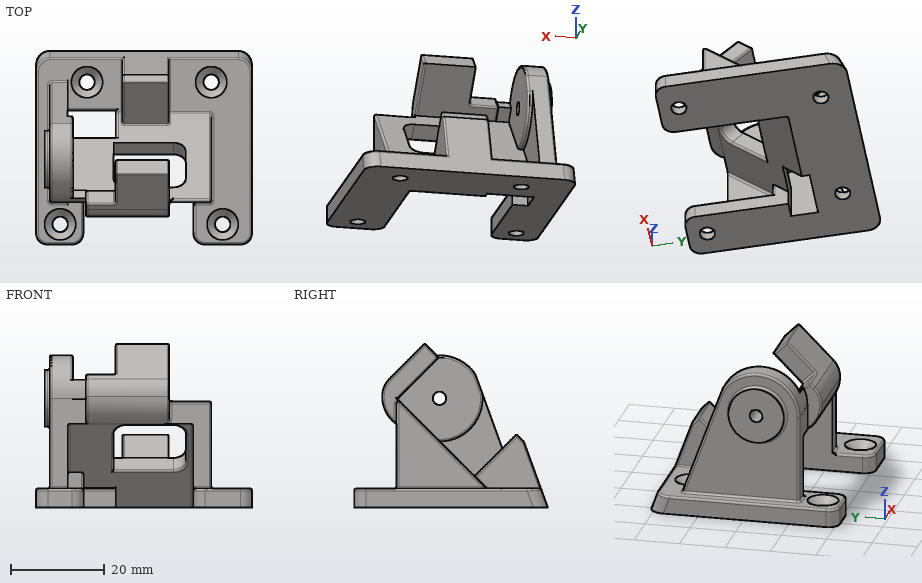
import cadquery as cq
import math

EDGE = 0.5
FINE_EDGE = 0.2
LEAN = math.radians(20)
SLANT = math.tan(LEAN)
MARGIN = 1.0

BASE_X = 46.31
BASE_Y = 41.53
BASE_T = 4.1
NOTCH_X0 = 10.2
NOTCH_X1 = 33.7
FOOT_R = 2.5
REAR_R = 3.0
FRONT_HOLE_XS = (5.2, 40.0)
FRONT_HOLE_Y = 4.35
REAR_HOLE_XS = (10.95, 37.55)
REAR_HOLE_Y = 34.8
SCREW_D = 3.25
SINK_D = 6.7
SINK_ANGLE = 90

FRONT_Y = 9.05
RAMP_X1 = 37.6
RAMP_TOP = 32.5
RAMP_UNDER = 27.0
OPEN_X0 = 6.8
OPEN_X1 = NOTCH_X1
EMBED_Z = 19.5
SLOT_X0 = 16.65
SLOT_X1 = 32.1
SLOT_FRONT_Y = 12.3
SLOT_REAR_Y = 21.85
SLOT_R = 2.7

WINDOW_X1 = 17.1
WINDOW_Y0 = 22.85
WINDOW_Y1 = 28.7
WINDOW_TOP = 10.0
BLOCK_Y0 = 19.4

CHEEK_X0 = 2.95
AXIS_Y = 18.3
AXIS_Z = 23.4
ARCH_R = AXIS_Y - FRONT_Y
CHEEK_REAR_Y = 34.9
ARCH_X1 = 7.95
BOSS_R = 6.1
BOSS_H = 1.1
PIN_HOLE_D = 2.8

HOOK_X0 = 10.7
HOOK_STEP_X = 17.05
HOOK_X1 = 28.55
HOOK_FRONT = 20.0
HOOK_BACK = 14.0
HOOK_TIP = 50.3
SHOULDER_TIP = 37.4
HOOK_NOSE_Z = 23.8
HOOK_NOSE_R = 5.3
HOOK_EDGE = 0.4

CATCH_X0 = 18.5
CATCH_X1 = 28.5
CATCH_FRONT = -19.1
CATCH_ROOT_R = 0.3
CATCH_TIP = 50.5


def crossing(total, difference):
    """(Y, Z) point where Y + Z = total meets Z - Y = difference."""
    return ((total - difference) / 2, (total + difference) / 2)


def side_sketch(x):
    """Workplane at the given X whose local axes are Y and Z."""
    return cq.Workplane("YZ", origin=(x, 0, 0))


def box(x0, x1, y0, y1, z0, z1):
    return cq.Workplane("XY").box(x1 - x0, y1 - y0, z1 - z0, centered=False).translate((x0, y0, z0))


def edges_within(body, low, high, slack=0.1):
    """Edges of the body whose middles lie in the given box, grown by a small slack."""
    grown_low = tuple(v - slack for v in low)
    grown_high = tuple(v + slack for v in high)
    return body.edges(cq.selectors.BoxSelector(grown_low, grown_high))


def make_base():
    """Plate with a slanted rear, a notch between its two front feet and rounded edges."""
    base = (
        side_sketch(0)
        .polyline([(0, 0), (BASE_Y, 0), (BASE_Y - BASE_T * SLANT, BASE_T), (0, BASE_T)])
        .close()
        .extrude(BASE_X)
    )
    rear_corners = cq.selectors.BoxSelector((-1, BASE_Y - 2, 1), (BASE_X + 1, BASE_Y, 3))
    base = base.edges(rear_corners).edges("not #Z").edges("not |X").fillet(REAR_R)
    base = base.cut(box(NOTCH_X0, NOTCH_X1, -MARGIN, RAMP_UNDER, -MARGIN, BASE_T + MARGIN))
    base = base.edges("|Z").edges("<Y").fillet(FOOT_R)
    return base.faces(">Z").edges().fillet(EDGE)


def make_ramp():
    """Wedge with a 45 degree top, hollowed from below so that a sloping plate and walls remain."""
    rear_y = RAMP_TOP - BASE_T
    ramp = (
        side_sketch(CHEEK_X0 + MARGIN)
        .polyline([(FRONT_Y, 0), (FRONT_Y, RAMP_TOP - FRONT_Y), (rear_y, BASE_T), (rear_y, 0)])
        .close()
        .extrude(RAMP_X1 - CHEEK_X0 - MARGIN)
    )
    opening = (
        side_sketch(OPEN_X0)
        .polyline([(0, 0), (RAMP_UNDER, 0), (0, RAMP_UNDER)])
        .close()
        .extrude(OPEN_X1 - OPEN_X0)
    )
    ramp = ramp.cut(opening)
    ramp = ramp.edges("|X").edges(">Z").fillet(EDGE)
    under_corners = edges_within(ramp, (OPEN_X0, 13, 3), (OPEN_X1, 22, 15))
    ramp = under_corners.fillet(EDGE)
    outer_edges = edges_within(ramp, (RAMP_X1, FRONT_Y, BASE_T), (RAMP_X1, RAMP_TOP - BASE_T, RAMP_TOP))
    return outer_edges.fillet(EDGE)


def arch_point(angle):
    """(Y, Z) point of the round cheek top at an angle measured from +Y towards +Z."""
    return (AXIS_Y + ARCH_R * math.cos(angle), AXIS_Z + ARCH_R * math.sin(angle))


ARCH_TOP = arch_point(math.pi / 2)
CHEEK_FOOT_REAR = (CHEEK_REAR_Y + BASE_T * SLANT, 0)
CUT_HALF_ANGLE = math.acos(
    ((CHEEK_FOOT_REAR[0] - AXIS_Y) * math.cos(LEAN) - AXIS_Z * math.sin(LEAN)) / ARCH_R
)


def make_cheek():
    """Outer wall with a slanted rear and a round top, plus its thicker round head."""
    arch_end = arch_point(LEAN + CUT_HALF_ANGLE)
    wall = (
        side_sketch(CHEEK_X0)
        .moveTo(FRONT_Y, 0)
        .lineTo(FRONT_Y, AXIS_Z)
        .threePointArc(ARCH_TOP, arch_end)
        .lineTo(*CHEEK_FOOT_REAR)
        .close()
        .extrude(OPEN_X0 - CHEEK_X0)
    )
    wall = wall.faces("<X").edges("not <Z").fillet(EDGE)
    head = (
        side_sketch(OPEN_X0)
        .moveTo(FRONT_Y, EMBED_Z)
        .lineTo(FRONT_Y, AXIS_Z)
        .threePointArc(ARCH_TOP, arch_end)
        .lineTo(*arch_point(LEAN - CUT_HALF_ANGLE))
        .threePointArc(arch_point(math.radians(-60)), arch_point(math.radians(-110)))
        .close()
        .extrude(ARCH_X1 - OPEN_X0)
    )
    head = head.faces(">X").edges().fillet(EDGE)
    return wall.union(head)


def make_neck():
    """Link between head and hook: the cheek outline in front of the hook's back plane."""
    reach = math.acos((AXIS_Y + AXIS_Z - SHOULDER_TIP) / (ARCH_R * math.sqrt(2)))
    top_angle = math.radians(225) - reach
    x0 = ARCH_X1 - EDGE
    return (
        side_sketch(x0)
        .moveTo(FRONT_Y, EMBED_Z)
        .lineTo(FRONT_Y, AXIS_Z)
        .threePointArc(arch_point((math.pi + top_angle) / 2), arch_point(top_angle))
        .lineTo(*crossing(SHOULDER_TIP, HOOK_BACK))
        .lineTo(*crossing(RAMP_TOP, HOOK_BACK))
        .lineTo(FRONT_Y + MARGIN, RAMP_TOP - FRONT_Y - MARGIN)
        .lineTo(FRONT_Y + MARGIN, EMBED_Z)
        .close()
        .extrude(HOOK_X0 - x0)
    )


def add_boss(body):
    """Round pad on the outer face of the cheek, with a rounded root and the pin hole through it."""
    axis = cq.Workplane("YZ", origin=(CHEEK_X0, AXIS_Y, AXIS_Z))
    body = body.union(axis.circle(BOSS_R).extrude(-BOSS_H))
    root = cq.selectors.BoxSelector(
        (CHEEK_X0 - FINE_EDGE, AXIS_Y - BOSS_R - FINE_EDGE, AXIS_Z - BOSS_R - FINE_EDGE),
        (CHEEK_X0 + FINE_EDGE, AXIS_Y + BOSS_R + FINE_EDGE, AXIS_Z + BOSS_R + FINE_EDGE),
    )
    body = body.edges(root).edges("%CIRCLE").fillet(EDGE)
    pin = cq.Workplane("YZ", origin=(0, AXIS_Y, AXIS_Z)).circle(PIN_HOLE_D / 2).extrude(ARCH_X1 + MARGIN)
    return body.cut(pin)


def make_hook():
    """Rounded nose carrying a tongue that leans back at 45 degrees, stepped down on its left."""
    tangent_y = HOOK_NOSE_Z + HOOK_NOSE_R * math.sin(math.pi / 4) - HOOK_FRONT
    nose_top = (tangent_y, tangent_y + HOOK_FRONT)
    nose_centre_y = tangent_y + HOOK_NOSE_R * math.cos(math.pi / 4)
    nose = (nose_centre_y - HOOK_NOSE_R, HOOK_NOSE_Z)
    hook = (
        side_sketch(HOOK_X0)
        .moveTo(FRONT_Y + MARGIN, RAMP_UNDER - FRONT_Y)
        .lineTo(FRONT_Y + MARGIN, RAMP_TOP - FRONT_Y - MARGIN)
        .lineTo(*crossing(RAMP_TOP, HOOK_BACK))
        .lineTo(*crossing(HOOK_TIP, HOOK_BACK))
        .lineTo(*crossing(HOOK_TIP, HOOK_FRONT))
        .lineTo(*nose_top)
        .tangentArcPoint(nose, relative=False)
        .tangentArcPoint((FRONT_Y, RAMP_UNDER - FRONT_Y), relative=False)
        .close()
        .extrude(HOOK_X1 - HOOK_X0)
    )
    step = (
        side_sketch(HOOK_X0 - MARGIN)
        .polyline(
            [
                crossing(SHOULDER_TIP, HOOK_BACK - MARGIN),
                crossing(HOOK_TIP + MARGIN, HOOK_BACK - MARGIN),
                crossing(HOOK_TIP + MARGIN, HOOK_FRONT + MARGIN),
                crossing(SHOULDER_TIP, HOOK_FRONT + MARGIN),
            ]
        )
        .close()
        .extrude(HOOK_STEP_X - HOOK_X0 + MARGIN)
    )
    step = step.edges(">X").edges("<Z").fillet(EDGE)
    hook = hook.cut(step)
    far = BASE_Y
    above_nose = HOOK_NOSE_Z + MARGIN
    step_low = (HOOK_STEP_X, FRONT_Y, SHOULDER_TIP - FRONT_Y)
    hook = edges_within(hook, step_low, (HOOK_STEP_X, far, far)).fillet(HOOK_EDGE)
    hook = edges_within(hook, (HOOK_X1, 0, above_nose), (HOOK_X1, far, far)).fillet(HOOK_EDGE)
    shoulder_back = crossing(SHOULDER_TIP, HOOK_BACK)[0] - MARGIN
    hook = edges_within(hook, (HOOK_X0, 0, above_nose), (HOOK_X0, shoulder_back, far)).fillet(HOOK_EDGE)
    return hook.edges("|X").edges(">Z").fillet(FINE_EDGE)


def make_catch():
    """Pointed block whose rear plane is flush with the slanted rear of the base."""
    corner_z = (CATCH_TIP - BASE_Y) / (1 - SLANT)
    catch = (
        side_sketch(CATCH_X0)
        .polyline(
            [
                (BASE_Y, 0),
                (BASE_Y - corner_z * SLANT, corner_z),
                crossing(CATCH_TIP, CATCH_FRONT),
                crossing(RAMP_TOP - 2 * MARGIN, CATCH_FRONT),
                (RAMP_UNDER, 0),
            ]
        )
        .close()
        .extrude(CATCH_X1 - CATCH_X0)
    )
    catch = catch.faces("<X or >X").edges().fillet(HOOK_EDGE)
    return catch.edges("|X").edges(">Z").fillet(FINE_EDGE)


def make_block():
    """Small block under the ramp, standing on the left foot beside the cheek."""
    block = box(OPEN_X0, NOTCH_X0, BLOCK_Y0, WINDOW_Y0, BASE_T - EDGE, RAMP_UNDER - BLOCK_Y0 + MARGIN)
    return block.edges("|Z").edges(">X and <Y").fillet(EDGE)


def slot_cutter():
    """Opening square to the ramp; its rear left corner is left sharp."""
    mid_y = (SLOT_FRONT_Y + SLOT_REAR_Y) / 2
    length = (SLOT_REAR_Y - SLOT_FRONT_Y) * math.sqrt(2)
    depth = (RAMP_TOP - RAMP_UNDER) / math.sqrt(2)
    centre = ((SLOT_X0 + SLOT_X1) / 2, mid_y, RAMP_TOP - mid_y)
    plane = cq.Plane(origin=centre, xDir=(1, 0, 0), normal=(0, 1, 1))
    slot = cq.Workplane(plane).rect(SLOT_X1 - SLOT_X0, length).extrude(-depth - MARGIN)
    corners = slot.edges(cq.selectors.ParallelDirSelector(cq.Vector(0, 1, 1)))
    sharp = cq.selectors.BoxSelector((SLOT_X0 - 1, SLOT_REAR_Y - 4, 0), (SLOT_X0 + 1, SLOT_REAR_Y + 1, 20))
    return corners.edges(-sharp).fillet(SLOT_R)


def cut_slot(body):
    """Cut the slot and round the lower edge of its rear wall."""
    body = body.cut(slot_cutter())
    rear_low_y = SLOT_REAR_Y - (RAMP_TOP - RAMP_UNDER) / 2
    rear_low_z = RAMP_UNDER - rear_low_y
    low = (SLOT_X0 + SLOT_R, rear_low_y, rear_low_z)
    high = (SLOT_X1 - SLOT_R, rear_low_y, rear_low_z)
    return edges_within(body, low, high).fillet(EDGE)


def cut_window(body):
    """Window through base and ramp foot beside the cheek, with rounded upper and rear edges."""
    body = body.cut(box(OPEN_X0, WINDOW_X1, WINDOW_Y0, WINDOW_Y1, -MARGIN, WINDOW_TOP))
    side = (WINDOW_X1, WINDOW_Y0 + MARGIN, BASE_T)
    body = edges_within(body, side, (WINDOW_X1, WINDOW_Y1 - MARGIN, WINDOW_TOP)).fillet(EDGE)
    rear = (NOTCH_X0, WINDOW_Y1, BASE_T)
    return edges_within(body, rear, (WINDOW_X1 - MARGIN, WINDOW_Y1, BASE_T)).fillet(EDGE)


def round_wall_roots(body):
    """Concave rounding where the cheek and the right wall stand on the base."""
    cheek_low = (CHEEK_X0, FRONT_Y, BASE_T)
    cheek_high = (OPEN_X0 - 2 * EDGE, CHEEK_REAR_Y, BASE_T)
    body = edges_within(body, cheek_low, cheek_high).fillet(EDGE)
    wall_low = (OPEN_X1 + EDGE, FRONT_Y, BASE_T)
    wall_high = (RAMP_X1, RAMP_TOP - BASE_T - EDGE, BASE_T)
    return edges_within(body, wall_low, wall_high).fillet(EDGE)


def round_catch_root(body):
    """Concave rounding where the catch rises from the ramp and the base."""
    front_y, front_z = crossing(RAMP_TOP, CATCH_FRONT)
    on_ramp = cq.selectors.BoxSelector(
        (CATCH_X0 - FINE_EDGE, front_y - FINE_EDGE, BASE_T + EDGE / 2),
        (CATCH_X1 + FINE_EDGE, RAMP_TOP - BASE_T - MARGIN, front_z + FINE_EDGE),
    )
    on_base = cq.selectors.BoxSelector(
        (CATCH_X0 - FINE_EDGE, RAMP_TOP - BASE_T - EDGE, BASE_T - FINE_EDGE),
        (CATCH_X1 + FINE_EDGE, BASE_Y - MARGIN, BASE_T + FINE_EDGE),
    )
    return body.edges(on_ramp + on_base).fillet(CATCH_ROOT_R)


def round_hook_root(body):
    """Concave rounding between the hook's right side and the front of the ramp."""
    low = (HOOK_X1, FRONT_Y, RAMP_UNDER - FRONT_Y + EDGE)
    return edges_within(body, low, (HOOK_X1, FRONT_Y, RAMP_TOP - FRONT_Y)).fillet(EDGE)


def drill_screw_holes(body):
    """Four countersunk screw holes through the base."""
    front = [(x, FRONT_HOLE_Y) for x in FRONT_HOLE_XS]
    rear = [(x, REAR_HOLE_Y) for x in REAR_HOLE_XS]
    top = cq.Workplane("XY", origin=(0, 0, BASE_T))
    body = body.cut(top.pushPoints(front + rear).circle(SCREW_D / 2).extrude(-BASE_T))
    sink_depth = (SINK_D - SCREW_D) / 2 / math.tan(math.radians(SINK_ANGLE / 2))
    for x, y in front + rear:
        tip = cq.Vector(x, y, BASE_T - sink_depth)
        cone = cq.Solid.makeCone(SCREW_D / 2, SINK_D / 2, sink_depth, pnt=tip, dir=cq.Vector(0, 0, 1))
        body = body.cut(cq.Workplane(cone))
    return body


result = make_base().union(make_ramp()).union(make_cheek())
result = round_wall_roots(result)
result = result.union(make_catch())
result = round_catch_root(result)
result = result.union(make_neck()).union(make_hook())
result = round_hook_root(result)
result = add_boss(result)
result = cut_slot(result)
result = cut_window(result)
result = result.union(make_block())
result = drill_screw_holes(result)